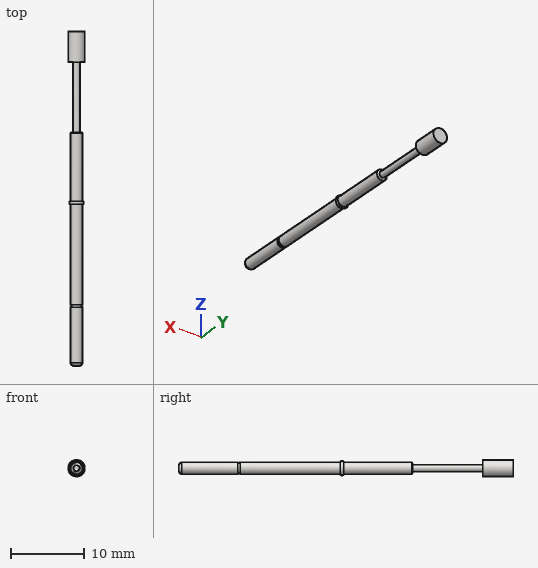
import cadquery as cq

total_length = 45.6

head_diameter = 2.3
head_length = 4.2
plunger_diameter = 1.0
plunger_exposed_length = 9.55

barrel_diameter = 1.7
tail_end_diameter = 0.8
tail_length = 0.45
tail_bulge = 0.08
mouth_length = 0.15
mouth_bulge = 0.035

ring_diameter = 2.0
ring_width = 0.45
ring_center = 22.25

groove_depth = 0.15
groove_width = 0.35
groove_center = 8.2

barrel_radius = barrel_diameter / 2
head_start = total_length - head_length
barrel_length = head_start - plunger_exposed_length


def axial_cylinder(diameter, start, length):
    """Cylinder on the Y axis running from `start` towards +Y."""
    base = cq.Workplane("XZ", origin=(0, start, 0))
    return base.circle(diameter / 2).extrude(-length)


def revolve_about_y(section):
    """Full turn of a closed section in the XY plane about the Y axis."""
    return section.revolve(360, (0, 0, 0), (0, 1, 0))


def make_barrel():
    """Tube body with a rounded tail and a mouth that rounds in to the plunger."""
    section = (
        cq.Workplane("XY")
        .lineTo(tail_end_diameter / 2, 0)
        .sagittaArc((barrel_radius, tail_length), -tail_bulge)
        .lineTo(barrel_radius, barrel_length - mouth_length)
        .sagittaArc((plunger_diameter / 2, barrel_length), -mouth_bulge)
        .lineTo(0, barrel_length)
        .close()
    )
    return revolve_about_y(section)


def make_press_ring():
    """Bulging band whose arc rises from the barrel surface to the ring diameter."""
    start = ring_center - ring_width / 2
    end = ring_center + ring_width / 2
    section = (
        cq.Workplane("XY")
        .moveTo(0, start)
        .lineTo(barrel_radius, start)
        .threePointArc((ring_diameter / 2, ring_center), (barrel_radius, end))
        .lineTo(0, end)
        .close()
    )
    return revolve_about_y(section)


def make_crimp_groove():
    """Cutting ring with a round-bottomed section."""
    start = groove_center - groove_width / 2
    end = groove_center + groove_width / 2
    clearance_radius = head_diameter / 2
    section = (
        cq.Workplane("XY")
        .moveTo(barrel_radius, start)
        .threePointArc((barrel_radius - groove_depth, groove_center), (barrel_radius, end))
        .lineTo(clearance_radius, end)
        .lineTo(clearance_radius, start)
        .close()
    )
    return revolve_about_y(section)


plunger = axial_cylinder(plunger_diameter, barrel_length, plunger_exposed_length)
head = axial_cylinder(head_diameter, head_start, head_length)

result = (
    make_barrel()
    .union(make_press_ring())
    .cut(make_crimp_groove())
    .union(plunger)
    .union(head)
)